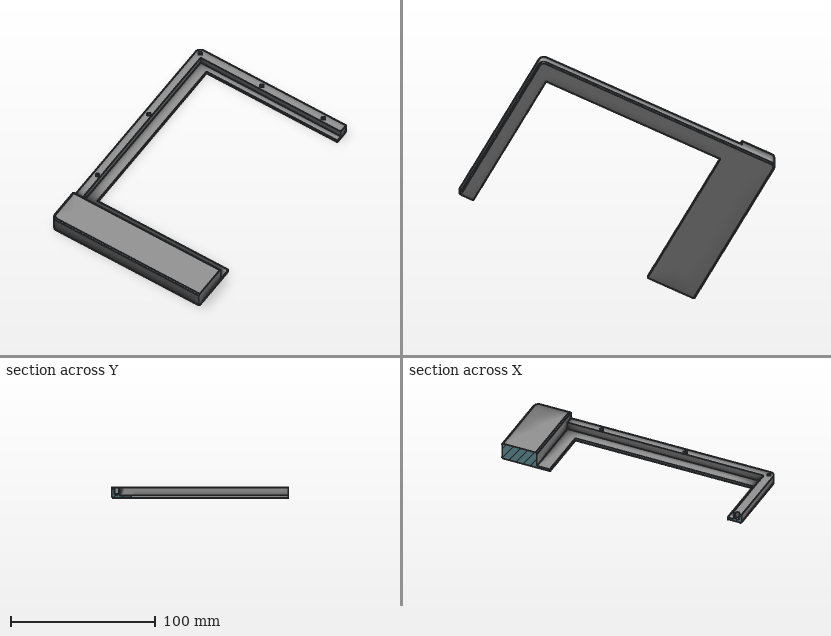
import cadquery as cq
import math

length_x = 122.0
length_y = 183.0
rim_height = 7.5
block_height = 13.0
block_depth = 26.9
corner_radius = 4.0
edge_chamfer = 1.0

side_rim_width = 5.9
back_rim_width = 6.5
ledge_height = 2.0
opening_west = 13.5
opening_south = 36.6
opening_back_margin = 10.8
opening_north = length_y - opening_back_margin

hole_diameter = 2.7
hole_depth = 4.5
hole_tip_angle = 118
hole_inset = 3.5
hole_pitch_x = 51.0
hole_pitch_y = 63.9
holes_per_side = 3


def box_between(x_range, y_range, z_range):
    """Box filling the given (low, high) ranges."""
    sizes = [high - low for low, high in (x_range, y_range, z_range)]
    corner = (x_range[0], y_range[0], z_range[0])
    return cq.Workplane("XY").box(*sizes, centered=False).translate(corner)


def rounded_slab(depth, height):
    """Full-width slab from the -Y side, rounded at its -X, -Y corner."""
    slab = box_between((0, length_x), (0, depth), (0, height))
    return slab.edges("|Z and <X and <Y").fillet(corner_radius)


def frame_plate():
    """Low plate with its bottom edge chamfered on every side but the flat +X end."""
    plate = rounded_slab(length_y, rim_height).edges("|Z and <X and >Y").fillet(corner_radius)
    return plate.faces("<Z").edges("not >X").chamfer(edge_chamfer)


def end_block():
    """Raised block, its top chamfered on every side but the flat +X end."""
    block = rounded_slab(block_depth, block_height)
    block = block.faces(">Z").edges("not >X").chamfer(edge_chamfer)
    return block.intersect(box_between((0, length_x), (0, block_depth), (rim_height, block_height)))


def ledge_recess():
    """Space above the ledge, from the rim to the block."""
    return box_between(
        (side_rim_width, length_x), (block_depth, length_y - back_rim_width), (ledge_height, block_height)
    )


def opening():
    """Through opening that leaves the ledge around it."""
    return box_between((opening_west, length_x), (opening_south, opening_north), (0, rim_height))


def screw_hole_centers():
    """Hole centers along the +Y rim and down the -X rim, sharing the corner hole."""
    corner_y = length_y - hole_inset
    along_x = [(hole_inset + i * hole_pitch_x, corner_y) for i in range(holes_per_side)]
    along_y = [(hole_inset, corner_y - i * hole_pitch_y) for i in range(1, holes_per_side)]
    return along_x + along_y


def screw_holes():
    """Blind holes with a conical drill tip."""
    radius = hole_diameter / 2
    tip_length = radius / math.tan(math.radians(hole_tip_angle / 2))
    profile = cq.Workplane("XZ").polyline(
        [
            (0, rim_height),
            (radius, rim_height),
            (radius, rim_height - hole_depth),
            (0, rim_height - hole_depth - tip_length),
        ]
    )
    drill = profile.close().revolve(360, (0, 0, 0), (0, 1, 0)).val()
    return cq.Workplane("XY").pushPoints(screw_hole_centers()).eachpoint(drill, combine=False)


result = frame_plate().union(end_block()).cut(ledge_recess()).cut(opening()).cut(screw_holes())